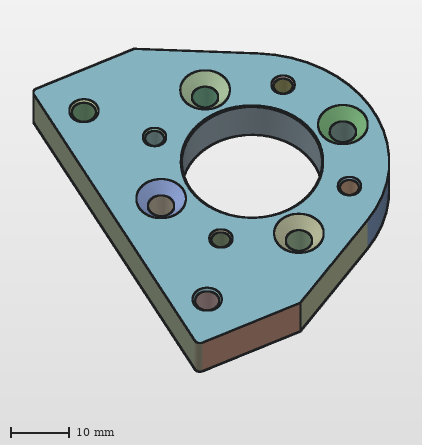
import cadquery as cq
import math

width = 62.0
depth = 50.0
thickness = 8.0
crown_radius = 23.5
flank_angle = 60.0
corner_radius = 1.0

bore_diameter = 24.0
bore_chamfer = 0.2

pitch_radius = 17.5
holes_per_set = 4
hole_step = 360 / holes_per_set
screw_diameter = 4.5
screw_mouth_diameter = 8.5
small_diameter = 3.24
small_mouth_diameter = 4.0

mount_diameter = 4.13
mount_mouth_diameter = 5.0
mount_spacing = 46.0
mount_edge_distance = 6.0

mouth_angle = 90.0

half_width = width / 2
bottom_y = crown_radius - depth


def plate():
    """Flat plate with a round crown, tangent flanks and a straight base."""
    tangent_angle = math.radians(90 - flank_angle)
    tangent_x = crown_radius * math.cos(tangent_angle)
    tangent_y = crown_radius * math.sin(tangent_angle)
    flank_drop = (half_width - tangent_x) * math.tan(math.radians(flank_angle))
    shoulder_y = tangent_y - flank_drop
    body = (
        cq.Workplane("XY")
        .moveTo(-half_width, bottom_y)
        .lineTo(half_width, bottom_y)
        .lineTo(half_width, shoulder_y)
        .lineTo(tangent_x, tangent_y)
        .threePointArc((0, crown_radius), (-tangent_x, tangent_y))
        .lineTo(-half_width, shoulder_y)
        .close()
        .extrude(thickness)
    )
    return body.faces("<Y").edges("|Z").fillet(corner_radius)


def pitch_circle_points(start_angle):
    """Centres of one set of equally spaced holes on the pitch circle."""
    angles = [math.radians(start_angle + hole_step * i) for i in range(holes_per_set)]
    return [(pitch_radius * math.cos(a), pitch_radius * math.sin(a)) for a in angles]


def drill(body, points, diameter, mouth_diameter):
    """Through holes with a conical mouth on the top face."""
    return (
        body.faces(">Z")
        .workplane(origin=(0, 0, thickness))
        .pushPoints(points)
        .cskHole(diameter, mouth_diameter, mouth_angle)
    )


screw_points = pitch_circle_points(0)
small_points = pitch_circle_points(hole_step / 2)
mount_y = bottom_y + mount_edge_distance
mount_points = [(side * mount_spacing / 2, mount_y) for side in (-1, 1)]

result = plate()
result = drill(result, [(0, 0)], bore_diameter, bore_diameter + 2 * bore_chamfer)
result = drill(result, screw_points, screw_diameter, screw_mouth_diameter)
result = drill(result, small_points, small_diameter, small_mouth_diameter)
result = drill(result, mount_points, mount_diameter, mount_mouth_diameter)